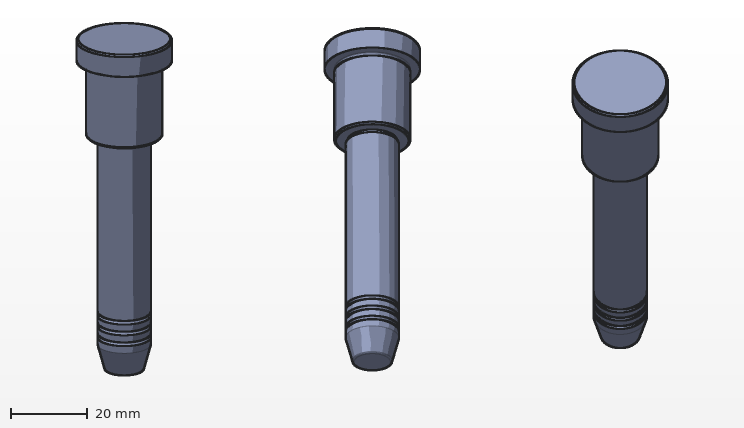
import cadquery as cq
import math

total_length = 92.0

head_radius = 12.5
head_height = 6.0
head_chamfer = 0.5

collar_radius = 10.0
collar_height = 21.0
collar_chamfer = 0.5

shank_radius = 7.0
relief_width = 1.0
relief_depth = 0.5

taper_height = 7.0
taper_angle = 15.0
tip_fillet = 0.5

groove_radius = 0.5
tip_groove_count = 3
tip_groove_pitch = 3.0
lowest_groove_z = 9.5

head_bottom_z = total_length - head_height
collar_bottom_z = head_bottom_z - collar_height
relief_bottom_z = collar_bottom_z - relief_width
head_groove_z = head_bottom_z - groove_radius
tip_radius = shank_radius - taper_height * math.tan(math.radians(taper_angle))


def cylinder(radius, bottom_z, top_z):
    """Solid cylinder about the Z axis."""
    return cq.Workplane("XY").workplane(offset=bottom_z).circle(radius).extrude(top_z - bottom_z)


def round_groove(surface_radius, center_z):
    """Ring cutter of round section, centred on the surface it cuts."""
    section = cq.Workplane("XZ").center(surface_radius, center_z).circle(groove_radius)
    return section.revolve(360, (-surface_radius, 0, 0), (-surface_radius, 1, 0))


def head():
    return cylinder(head_radius, head_bottom_z, total_length).faces(">Z").chamfer(head_chamfer)


def collar():
    body = cylinder(collar_radius, collar_bottom_z, head_bottom_z).faces("<Z").chamfer(collar_chamfer)
    return body.cut(round_groove(collar_radius, head_groove_z))


def shank():
    relief = cylinder(shank_radius - relief_depth, relief_bottom_z, collar_bottom_z)
    body = cylinder(shank_radius, taper_height, relief_bottom_z).union(relief)
    for index in range(tip_groove_count):
        groove_z = lowest_groove_z + index * tip_groove_pitch
        body = body.cut(round_groove(shank_radius, groove_z))
    return body


def tip():
    cone = (
        cq.Workplane("XZ")
        .polyline([(0, 0), (tip_radius, 0), (shank_radius, taper_height), (0, taper_height)])
        .close()
        .revolve(360, (0, 0, 0), (0, 1, 0))
    )
    return cone.faces("<Z").edges().fillet(tip_fillet)


result = head().union(collar()).union(shank()).union(tip())